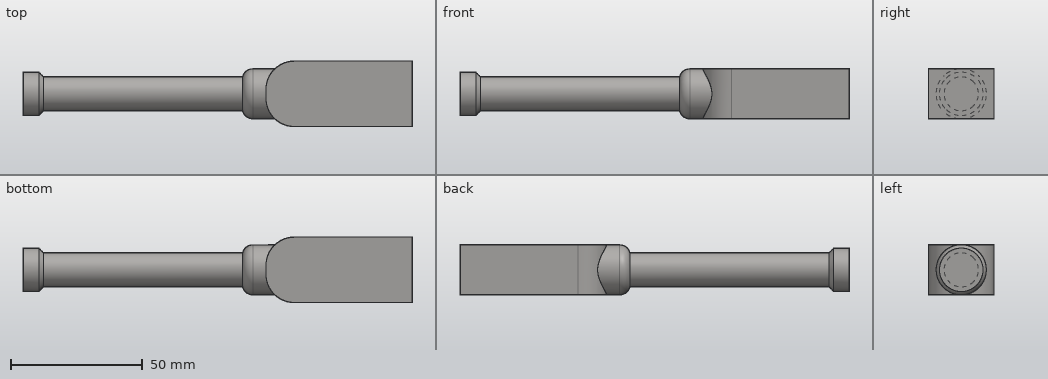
import cadquery as cq

total_length = 147.5
body_width = 25.0
body_height = 19.0

body_start = 92.0
nose_radius = 10.8

shaft_diameter = 13.0
head_diameter = 16.5
head_land_length = 5.9
head_chamfer_length = (head_diameter - shaft_diameter) / 2
collar_diameter = body_height
collar_start = 83.0
collar_round_radius = 4.0

body_length = total_length - body_start
collar_burial = 10.3


def along_x(diameter, start, end):
    """Round bar centred on the X axis between two X positions."""
    return cq.Workplane("YZ").workplane(offset=start).circle(diameter / 2).extrude(end - start)


def make_body():
    """Block whose two upright edges at the collar end are rounded."""
    block = cq.Workplane("XY").box(body_length, body_width, body_height, centered=(False, True, True))
    return block.edges("|Z and <X").fillet(nose_radius).translate((body_start, 0, 0))


def make_collar():
    """Collar with a rounded shoulder facing the head, buried in the body at its other end."""
    collar = along_x(collar_diameter, collar_start, body_start + collar_burial)
    return collar.faces("<X").edges().fillet(collar_round_radius)


def make_head():
    """Button head with a tapered back that runs down to the shaft."""
    head_radius = head_diameter / 2
    shaft_radius = shaft_diameter / 2
    head_end = head_land_length + head_chamfer_length
    profile = (
        cq.Workplane("XY")
        .lineTo(0, head_radius)
        .lineTo(head_land_length, head_radius)
        .lineTo(head_end, shaft_radius)
        .lineTo(head_end, 0)
        .close()
    )
    return profile.revolve(360, (0, 0, 0), (1, 0, 0))


shaft = along_x(shaft_diameter, 0, body_start)
result = make_body().union(make_collar()).union(shaft).union(make_head())